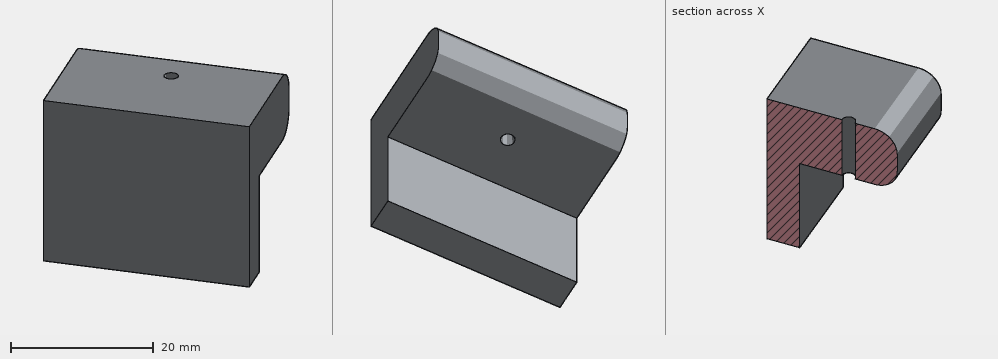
import cadquery as cq

width = 30.0
depth = 20.0
height = 25.0
wall_thickness = 5.0
ledge_thickness = 10.0
nose_radius = 3.5
hole_diameter = 2.0

hole_x = width / 2
hole_y = (wall_thickness + depth) / 2


def make_front_wall():
    """Full-height plate on the front (-Y) side."""
    return cq.Workplane("XY").box(width, wall_thickness, height, centered=False)


def make_ledge():
    """Block along the top of the wall, with both rear edges rounded."""
    ledge = (
        cq.Workplane("XY")
        .workplane(offset=height - ledge_thickness)
        .box(width, depth, ledge_thickness, centered=False)
    )
    return ledge.faces(">Y").edges("|X").fillet(nose_radius)


def make_hole_cutter():
    """Vertical cylinder passing through the ledge."""
    return (
        cq.Workplane("XY")
        .center(hole_x, hole_y)
        .circle(hole_diameter / 2)
        .extrude(height)
    )


result = make_front_wall().union(make_ledge()).cut(make_hole_cutter()).clean()